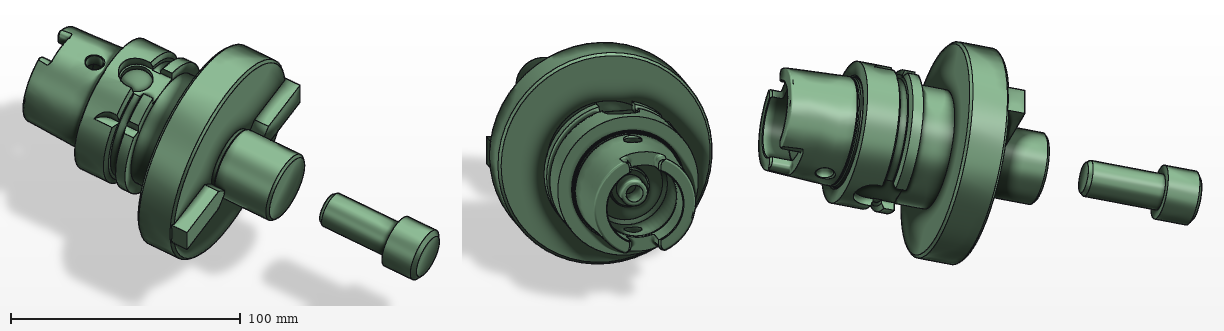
import cadquery as cq
import math


GAUGE_X = 25.7
GAUGE_DIAMETER = 48.0
TAPER_SLOPE = 0.05
SHANK_END_ROUNDING = 1.0
UNDERCUT_X = 29.7
UNDERCUT_DEPTH = 0.5
FACE_RECESS_RADIUS = 25.3
FACE_RECESS_DEPTH = 0.5

FLANGE_X = 32.0
FLANGE_END_X = 57.7
FLANGE_DIAMETER = 63.0
GROOVE_FLOOR_X = 47.9
GROOVE_FLOOR_WIDTH = 3.9
GROOVE_FLOOR_DIAMETER = 55.0
GROOVE_BEVEL_WIDTH = 1.2
GROOVE_BEVEL_DEPTH = 2.3

BODY_RADIUS = 26.5
COLLAR_X = 73.7
COLLAR_END_X = 91.9
COLLAR_DIAMETER = 96.0
COLLAR_CHAMFER = 1.2
SPIGOT_DIAMETER = 31.8
SPIGOT_END_X = 121.2
SPIGOT_CHAMFER = 1.2
SPIGOT_RELIEF_WIDTH = 1.5
SPIGOT_RELIEF_DEPTH = 0.5

MOUTH_CHAMFER = 0.4
BORE_DIAMETER = 34.0
BORE_LIP_END_X = 12.4
BORE_RELIEF_DIAMETER = 34.7
BORE_FLOOR_DIAMETER = 31.3
BORE_FLOOR_X = 32.8
TUBE_X = 19.7
TUBE_DIAMETER = 12.0
TUBE_ROUNDING = 1.2
TUBE_BORE_DIAMETER = 7.5
TUBE_COLLAR_DIAMETER = 18.0
TUBE_COLLAR_X = 29.0
TUBE_COLLAR_CHAMFER = 0.8

SLOT_WIDTH = 12.4
UPPER_SLOT_DEPTH = 6.0
LOWER_SLOT_DEPTH = 10.0
SLOT_CORNER_RADIUS = 1.2
SLOT_EDGE_RADIUS = 2.5
SLOT_FLARE_Z = 18.1
SLOT_FACE_CHAMFER = 1.0
SLOT_INNER_Z = 11.5
SLOT_OUTER_Z = 27.0
SLOT_OUTER_Y = 15.5

ACCESS_HOLE_X = 23.0
ACCESS_HOLE_RADIUS = 3.9
ACCESS_HOLE_CHAMFER = 0.5
ACCESS_HOLE_INNER_Z = 13.5

KEYWAY_WIDTH = 16.0
KEYWAY_CENTER_X = 44.5
POCKET_DIAMETER = 14.0
POCKET_DEPTH = 2.3
NOTCH_OFFSET = 20.0

LUG_WIDTH = 12.2
LUG_OUTER_Y = 47.3
LUG_SHOULDER_Y = 20.8
LUG_END_X = 99.0

SCREW_X = 141.9
SCREW_DIAMETER = 16.0
SCREW_TIP_RADIUS = 6.8
SCREW_TIP_LENGTH = 1.7
HEAD_X = 176.8
HEAD_DIAMETER = 24.0
HEAD_END_X = 193.0
HEAD_END_RADIUS = 9.6
HEAD_CHAMFER_LENGTH = 1.7

QUARTER_ARC_MIDDLE = math.sqrt(0.5)


def revolve_about_x(profile):
    """Revolve an open (x, radius) outline, closed along the axis, about the X axis."""
    return profile.close().revolve(360, (0, 0, 0), (1, 0, 0))


def half_turn(shape):
    """Turn a shape by 180 degrees about the X axis."""
    return shape.rotate((0, 0, 0), (1, 0, 0), 180)


def shank_radius(x):
    return GAUGE_DIAMETER / 2 + TAPER_SLOPE * (x - GAUGE_X)


def rounded_corner(profile, x, radius, size):
    """Continue a profile from (x, radius - size) to (x + size, radius) by a convex quarter arc."""
    inset = size * (1 - QUARTER_ARC_MIDDLE)
    return profile.threePointArc((x + inset, radius - inset), (x + size, radius))


def turned_blank():
    """Shank, flange, body, collar and spigot as one solid of revolution."""
    shank_end_radius = shank_radius(SHANK_END_ROUNDING)
    root_radius = shank_radius(UNDERCUT_X)
    undercut_radius = root_radius - UNDERCUT_DEPTH
    recess_x = FLANGE_X + FACE_RECESS_DEPTH
    flange_radius = FLANGE_DIAMETER / 2
    groove_radius = GROOVE_FLOOR_DIAMETER / 2
    groove_end_x = GROOVE_FLOOR_X + GROOVE_FLOOR_WIDTH
    bevel_radius = flange_radius - GROOVE_BEVEL_DEPTH
    collar_radius = COLLAR_DIAMETER / 2
    spigot_radius = SPIGOT_DIAMETER / 2
    relief_radius = spigot_radius - SPIGOT_RELIEF_DEPTH
    relief_end_x = COLLAR_END_X + SPIGOT_RELIEF_WIDTH
    profile = cq.Workplane("XY").moveTo(0, 0).lineTo(0, shank_end_radius - SHANK_END_ROUNDING)
    profile = rounded_corner(profile, 0, shank_end_radius, SHANK_END_ROUNDING)
    outline = [
        (UNDERCUT_X, root_radius),
        (UNDERCUT_X + UNDERCUT_DEPTH, undercut_radius),
        (UNDERCUT_X + 2 * UNDERCUT_DEPTH, undercut_radius),
        (UNDERCUT_X + 3 * UNDERCUT_DEPTH, root_radius),
        (recess_x, root_radius),
        (recess_x, FACE_RECESS_RADIUS - FACE_RECESS_DEPTH),
        (FLANGE_X, FACE_RECESS_RADIUS),
        (FLANGE_X, flange_radius),
        (GROOVE_FLOOR_X - GROOVE_BEVEL_WIDTH, flange_radius),
        (GROOVE_FLOOR_X, bevel_radius),
        (GROOVE_FLOOR_X, groove_radius),
        (groove_end_x, groove_radius),
        (groove_end_x, bevel_radius),
        (groove_end_x + GROOVE_BEVEL_WIDTH, flange_radius),
        (FLANGE_END_X, flange_radius),
        (FLANGE_END_X, BODY_RADIUS),
        (COLLAR_X, BODY_RADIUS),
        (COLLAR_X, collar_radius - COLLAR_CHAMFER),
        (COLLAR_X + COLLAR_CHAMFER, collar_radius),
        (COLLAR_END_X - COLLAR_CHAMFER, collar_radius),
        (COLLAR_END_X, collar_radius - COLLAR_CHAMFER),
        (COLLAR_END_X, relief_radius),
        (relief_end_x, relief_radius),
        (relief_end_x + SPIGOT_RELIEF_DEPTH, spigot_radius),
        (SPIGOT_END_X - SPIGOT_CHAMFER, spigot_radius),
        (SPIGOT_END_X, spigot_radius - SPIGOT_CHAMFER),
        (SPIGOT_END_X, 0),
    ]
    for x, radius in outline:
        profile = profile.lineTo(x, radius)
    return revolve_about_x(profile)


def bore_cavity():
    """Stepped bore of the shank, with a lip at its mouth and a bevel round its floor."""
    bore_radius = BORE_DIAMETER / 2
    relief_radius = BORE_RELIEF_DIAMETER / 2
    floor_radius = BORE_FLOOR_DIAMETER / 2
    outline = [
        (0, 0),
        (0, bore_radius + MOUTH_CHAMFER),
        (MOUTH_CHAMFER, bore_radius),
        (BORE_LIP_END_X, bore_radius),
        (BORE_LIP_END_X, relief_radius),
        (BORE_FLOOR_X - (relief_radius - floor_radius), relief_radius),
        (BORE_FLOOR_X, floor_radius),
        (BORE_FLOOR_X, 0),
    ]
    return revolve_about_x(cq.Workplane("XY").polyline(outline))


def coolant_tube():
    """Tube with a rounded tip and a chamfered collar at the bore floor."""
    tube_radius = TUBE_DIAMETER / 2
    tube_bore_radius = TUBE_BORE_DIAMETER / 2
    collar_radius = TUBE_COLLAR_DIAMETER / 2
    profile = (
        cq.Workplane("XY")
        .moveTo(TUBE_X, tube_bore_radius)
        .lineTo(TUBE_X, tube_radius - TUBE_ROUNDING)
    )
    profile = (
        rounded_corner(profile, TUBE_X, tube_radius, TUBE_ROUNDING)
        .lineTo(TUBE_COLLAR_X, tube_radius)
        .lineTo(TUBE_COLLAR_X, collar_radius - TUBE_COLLAR_CHAMFER)
        .lineTo(TUBE_COLLAR_X + TUBE_COLLAR_CHAMFER, collar_radius)
        .lineTo(BORE_FLOOR_X, collar_radius)
        .lineTo(BORE_FLOOR_X, tube_bore_radius)
    )
    return profile.close().revolve(360, (0, 0, 0), (1, 0, 0))


def slot_outline(half_width):
    """Cross-section of an upward drive slot whose walls round outward at the top."""
    flare_top = SLOT_FLARE_Z + SLOT_EDGE_RADIUS
    flare_y = half_width + SLOT_EDGE_RADIUS
    arc_y = flare_y - SLOT_EDGE_RADIUS * QUARTER_ARC_MIDDLE
    arc_z = SLOT_FLARE_Z + SLOT_EDGE_RADIUS * QUARTER_ARC_MIDDLE
    return (
        cq.Workplane("YZ")
        .moveTo(-half_width, SLOT_INNER_Z)
        .lineTo(half_width, SLOT_INNER_Z)
        .lineTo(half_width, SLOT_FLARE_Z)
        .threePointArc((arc_y, arc_z), (flare_y, flare_top))
        .lineTo(SLOT_OUTER_Y, flare_top)
        .lineTo(SLOT_OUTER_Y, SLOT_OUTER_Z)
        .lineTo(-SLOT_OUTER_Y, SLOT_OUTER_Z)
        .lineTo(-SLOT_OUTER_Y, flare_top)
        .lineTo(-flare_y, flare_top)
        .threePointArc((-arc_y, arc_z), (-half_width, SLOT_FLARE_Z))
        .close()
    )


def drive_slot(depth):
    """Cutter for a slot with rounded floor corners and a chamfer at the shank end."""
    walls = slot_outline(SLOT_WIDTH / 2).extrude(depth)
    walls = walls.faces(">X").edges().fillet(SLOT_CORNER_RADIUS)
    mouth = slot_outline(SLOT_WIDTH / 2 + SLOT_FACE_CHAMFER).extrude(SLOT_FACE_CHAMFER, taper=45)
    return walls.union(mouth)


def access_hole():
    """Cutter for a radial hole through the upper shank wall, with a countersunk mouth."""
    surface_z = shank_radius(ACCESS_HOLE_X)
    outer_z = surface_z + ACCESS_HOLE_CHAMFER
    outline = [
        (0, ACCESS_HOLE_INNER_Z),
        (ACCESS_HOLE_RADIUS, ACCESS_HOLE_INNER_Z),
        (ACCESS_HOLE_RADIUS, surface_z - ACCESS_HOLE_CHAMFER),
        (ACCESS_HOLE_RADIUS + 2 * ACCESS_HOLE_CHAMFER, outer_z),
        (0, outer_z),
    ]
    cutter = cq.Workplane("XZ").polyline(outline).close().revolve(360, (0, 0, 0), (0, 1, 0))
    return cutter.translate((ACCESS_HOLE_X, 0, 0))


def round_ended_channel(center_y, floor_z):
    """Cutter for a flat-floored channel along X, open at the top and toward the body."""
    length = FLANGE_END_X - KEYWAY_CENTER_X
    height = FLANGE_DIAMETER / 2 - floor_z
    round_end = cq.Workplane("XY").circle(KEYWAY_WIDTH / 2).extrude(height)
    run = cq.Workplane("XY").box(length, KEYWAY_WIDTH, height, centered=(False, True, False))
    return round_end.union(run).translate((KEYWAY_CENTER_X, center_y, floor_z))


def keyway_pocket():
    """Cutter for the round pocket sunk into the floor of the upper keyway."""
    return (
        cq.Workplane("XY", origin=(KEYWAY_CENTER_X, 0, BODY_RADIUS - POCKET_DEPTH))
        .circle(POCKET_DIAMETER / 2)
        .extrude(POCKET_DEPTH)
    )


def drive_lug():
    """Bar on the collar face whose inner end is a 45 degree point buried in the spigot."""
    half_width = LUG_WIDTH / 2
    start_x = COLLAR_END_X - COLLAR_CHAMFER
    outline = [
        (LUG_OUTER_Y, -half_width),
        (LUG_OUTER_Y, half_width),
        (LUG_SHOULDER_Y, half_width),
        (LUG_SHOULDER_Y - half_width, 0),
        (LUG_SHOULDER_Y, -half_width),
    ]
    return (
        cq.Workplane("YZ", origin=(start_x, 0, 0))
        .polyline(outline)
        .close()
        .extrude(LUG_END_X - start_x)
    )


def make_arbor():
    keyway = round_ended_channel(0, BODY_RADIUS)
    index_notch = round_ended_channel(-NOTCH_OFFSET - KEYWAY_WIDTH / 2, NOTCH_OFFSET)
    cutters = [
        bore_cavity(),
        drive_slot(UPPER_SLOT_DEPTH),
        half_turn(drive_slot(LOWER_SLOT_DEPTH)),
        access_hole(),
        half_turn(access_hole()),
        keyway,
        half_turn(keyway),
        keyway_pocket(),
        index_notch,
    ]
    arbor = turned_blank()
    for cutter in cutters:
        arbor = arbor.cut(cutter)
    for addition in (coolant_tube(), drive_lug(), half_turn(drive_lug())):
        arbor = arbor.union(addition)
    return arbor


def make_screw():
    screw_radius = SCREW_DIAMETER / 2
    head_radius = HEAD_DIAMETER / 2
    outline = [
        (SCREW_X, 0),
        (SCREW_X, SCREW_TIP_RADIUS),
        (SCREW_X + SCREW_TIP_LENGTH, screw_radius),
        (HEAD_X, screw_radius),
        (HEAD_X, head_radius),
        (HEAD_END_X - HEAD_CHAMFER_LENGTH, head_radius),
        (HEAD_END_X, HEAD_END_RADIUS),
        (HEAD_END_X, 0),
    ]
    return revolve_about_x(cq.Workplane("XY").polyline(outline))


arbor = make_arbor()
screw = make_screw()
result = cq.Compound.makeCompound([arbor.val(), screw.val()])